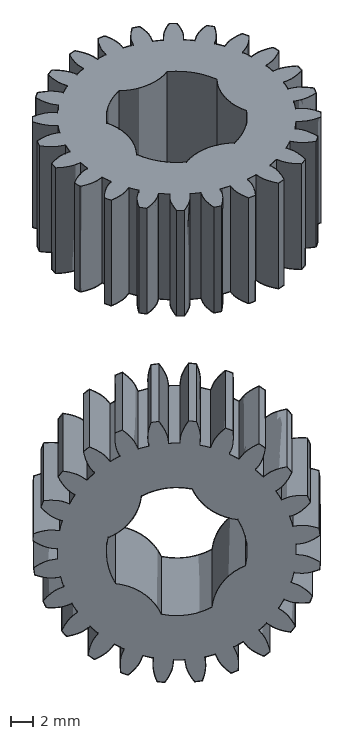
import cadquery as cq
import math

outer_diameter = 26.0
face_width = 12.5
tooth_count = 24
pressure_angle = math.radians(20)

addendum_factor = 1.0
dedendum_factor = 1.25

bore_radius = 6.35
lobe_count = 4
lobe_radius = 5.07
lobe_tip_distance = 5.12

tip_radius = outer_diameter / 2
module = outer_diameter / (tooth_count + 2 * addendum_factor)
pitch_radius = module * tooth_count / 2
root_radius = pitch_radius - dedendum_factor * module
base_radius = pitch_radius * math.cos(pressure_angle)
tooth_pitch_angle = 2 * math.pi / tooth_count

flank_points = 6


def involute(angle):
    return math.tan(angle) - angle


def polar_point(radius, angle):
    return (radius * math.cos(angle), radius * math.sin(angle))


base_half_angle = tooth_pitch_angle / 4 + involute(pressure_angle)
root_half_angle = math.asin(base_radius * math.sin(base_half_angle) / root_radius)


def flank(center_angle, side):
    """Involute points from the base circle to the tip; side is -1 or +1."""
    points = []
    for i in range(flank_points):
        radius = base_radius + (tip_radius - base_radius) * i / (flank_points - 1)
        half_angle = base_half_angle - involute(math.acos(base_radius / radius))
        points.append(polar_point(radius, center_angle + side * half_angle))
    return points


def gear_blank():
    outline = cq.Workplane("XY").moveTo(*polar_point(root_radius, -root_half_angle))
    for tooth in range(tooth_count):
        center = tooth * tooth_pitch_angle
        rising = flank(center, -1)
        falling = flank(center, 1)[::-1]
        gap_middle = polar_point(root_radius, center + tooth_pitch_angle / 2)
        next_root = polar_point(root_radius, center + tooth_pitch_angle - root_half_angle)

        outline = outline.lineTo(*rising[0]).spline(rising[1:], includeCurrent=True)
        outline = outline.threePointArc(polar_point(tip_radius, center), falling[0])
        outline = outline.spline(falling[1:], includeCurrent=True)
        outline = outline.lineTo(*polar_point(root_radius, center + root_half_angle))
        outline = outline.threePointArc(gap_middle, next_root)
    return outline.close().extrude(face_width)


def bore():
    """Round bore with cylindrical lobes bulging in towards the axis."""
    lobes = (
        cq.Workplane("XY")
        .polarArray(lobe_tip_distance + lobe_radius, 0, 360, lobe_count)
        .circle(lobe_radius)
        .extrude(face_width)
    )
    return cq.Workplane("XY").circle(bore_radius).extrude(face_width).cut(lobes)


result = gear_blank().cut(bore())